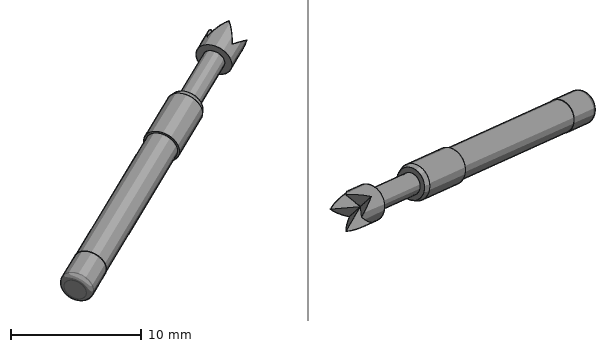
import cadquery as cq
import math

TOTAL_LENGTH = 30.3
HEAD_DIAMETER = 3.0
HEAD_RADIUS = HEAD_DIAMETER / 2
HEAD_LENGTH = 2.97
PLUNGER_RADIUS = 0.9
PLUNGER_LENGTH = 5.3
COLLAR_RADIUS = HEAD_RADIUS
COLLAR_LENGTH = 5.0
COLLAR_LIP_RADIUS = 1.33
COLLAR_LIP_LENGTH = 0.45
BARREL_RADIUS = 1.33
END_CAP_RADIUS = 1.35
END_CAP_LENGTH = 2.97
END_FILLET = 0.42
GROOVE_ANGLE = 60.0

tip_y = TOTAL_LENGTH / 2
end_y = -TOTAL_LENGTH / 2
head_base_y = tip_y - HEAD_LENGTH
collar_front_y = head_base_y - PLUNGER_LENGTH
collar_back_y = collar_front_y - COLLAR_LENGTH
cap_front_y = end_y + END_CAP_LENGTH


def cylinder(radius, start_y, stop_y):
    """Solid cylinder on the Y axis, from start_y up to stop_y."""
    height = stop_y - start_y
    return cq.Workplane(cq.Plane((0, start_y, 0), (1, 0, 0), (0, 1, 0))).circle(radius).extrude(height)


def crown_groove(angle):
    """V-groove across the head, turned about Y; its walls meet the head's rim at the tooth tips."""
    half_width = HEAD_RADIUS * math.sin(math.radians(45))
    depth = half_width / math.tan(math.radians(GROOVE_ANGLE / 2))
    wedge = (
        cq.Workplane("XY")
        .polyline([(-half_width, tip_y), (0, tip_y - depth), (half_width, tip_y)])
        .close()
        .extrude(2 * HEAD_RADIUS, both=True)
    )
    return wedge.rotate((0, 0, 0), (0, 1, 0), angle)


head = cylinder(HEAD_RADIUS, head_base_y, tip_y)
for groove_angle in (45, -45):
    head = head.cut(crown_groove(groove_angle))

plunger = cylinder(PLUNGER_RADIUS, collar_front_y, head_base_y)

collar = (
    cylinder(COLLAR_RADIUS, collar_back_y, collar_front_y)
    .faces(">Y")
    .chamfer(COLLAR_LIP_LENGTH, COLLAR_RADIUS - COLLAR_LIP_RADIUS)
)

barrel = cylinder(BARREL_RADIUS, cap_front_y, collar_back_y)

end_cap = cylinder(END_CAP_RADIUS, end_y, cap_front_y).faces("<Y").edges().fillet(END_FILLET)

result = end_cap.union(barrel).union(collar).union(plunger).union(head)